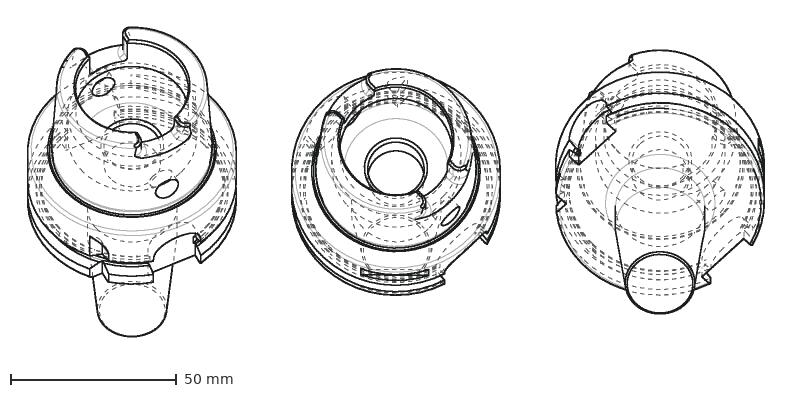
import cadquery as cq
import math


shank_height = 32.0
gauge_radius = 24.03
gauge_height = 6.3
taper_slope = 1 / 20
shank_top_round = 1.0
taper_start = 1.9
relief_radius = 24.15
relief_top = 1.2
face_recess_radius = 25.4
face_recess_depth = 0.5

flange_radius = 31.5
flange_height = 26.0
flange_round = 1.0
groove_radius = 27.5
groove_mid_z = -18.1
groove_half_width = 1.85
groove_flank_start = 29.0
groove_flank_angle = 30.0
groove_root_round = 0.5

nose_bottom = -80.0
nose_radius = 13.5
nose_root_round = 3.0
nose_taper_top = -42.0
nose_tip_radius = 10.5
nose_tip_chamfer = 0.6

bore_radius = 17.0
bore_chamfer = 0.5
bore_chamfer_depth = 1.1
bore_bottom = 19.3
bore_shoulder_angle = 30.0
cavity_radius = 19.5
cavity_floor = 3.0
cavity_floor_round = 3.8
tube_bore_radius = 8.5
tube_bore_chamfer = 1.0
tube_bore_depth = 10.0

drive_half_width = 6.27
drive_flare_start = 18.15
drive_flare_radius = 2.75
drive_tail_length = 5.0
drive_floor_round = 1.5
drive_edge_chamfer = 0.8
drive_chamfer_taper = -45
drive_floors = {-1: 22.2, 1: 26.1}

cross_hole_diameter = 7.6
cross_hole_z = 8.8

keyway_spring_z = -14.0
left_keyway_width = 18.0
left_keyway_floor = 26.5
right_keyway_width = 16.0
right_keyway_floor = 26.5
corner_notch_width = 16.0
corner_notch_floor = 20.0
corner_notch_wall_y = -20.0
corner_notch_spring_z = -12.2

flat_distance = 29.8
flat_top = -3.9
flat_height = 6.0
flat_angle = 135.0


def taper_radius(z):
    return gauge_radius - (z - gauge_height) * taper_slope


def round_to(outline, start, end, center):
    """Line to start, then a short arc around center to end."""
    radius = math.dist(start, center)
    to_mid_x = start[0] + end[0] - 2 * center[0]
    to_mid_z = start[1] + end[1] - 2 * center[1]
    scale = radius / math.hypot(to_mid_x, to_mid_z)
    mid = (center[0] + to_mid_x * scale, center[1] + to_mid_z * scale)
    return outline.lineTo(*start).threePointArc(mid, end)


def revolve(outline):
    return outline.close().revolve(360, (0, 0, 0), (0, 1, 0))


def shank_outline(outline):
    """From the axis at the shank end down to the face recess of the flange."""
    inner_x = taper_radius(shank_height) - shank_top_round
    round_z = shank_height - shank_top_round
    outline = round_to(
        outline, (inner_x, shank_height), (inner_x + shank_top_round, round_z), (inner_x, round_z)
    )
    return (
        outline.lineTo(taper_radius(taper_start), taper_start)
        .lineTo(relief_radius, relief_top)
        .lineTo(relief_radius, -face_recess_depth)
        .lineTo(face_recess_radius - face_recess_depth, -face_recess_depth)
        .lineTo(face_recess_radius, 0)
    )


def flange_outline(outline):
    """Flange rim with rounded edges and a V-flanked gripper groove."""
    inner_x = flange_radius - flange_round
    flank_rise = (flange_radius - groove_flank_start) * math.tan(math.radians(groove_flank_angle))
    rim_half_width = groove_half_width + flank_rise
    groove_top = groove_mid_z + groove_half_width
    groove_bottom = groove_mid_z - groove_half_width
    root_x = groove_radius + groove_root_round
    top_root_z = groove_top - groove_root_round
    low_root_z = groove_bottom + groove_root_round
    low_round_z = -flange_height + flange_round

    outline = round_to(outline, (inner_x, 0), (flange_radius, -flange_round), (inner_x, -flange_round))
    outline = outline.lineTo(flange_radius, groove_mid_z + rim_half_width)
    outline = outline.lineTo(groove_flank_start, groove_top)
    outline = round_to(outline, (root_x, groove_top), (groove_radius, top_root_z), (root_x, top_root_z))
    outline = round_to(outline, (groove_radius, low_root_z), (root_x, groove_bottom), (root_x, low_root_z))
    outline = outline.lineTo(groove_flank_start, groove_bottom)
    outline = outline.lineTo(flange_radius, groove_mid_z - rim_half_width)
    return round_to(outline, (flange_radius, low_round_z), (inner_x, -flange_height), (inner_x, low_round_z))


def nose_outline(outline):
    """Root round, short cylinder and tapered tip, back to the axis."""
    root_x = nose_radius + nose_root_round
    root_z = -flange_height - nose_root_round
    outline = round_to(outline, (root_x, -flange_height), (nose_radius, root_z), (root_x, root_z))
    return (
        outline.lineTo(nose_radius, nose_taper_top)
        .lineTo(nose_tip_radius, nose_bottom + nose_tip_chamfer)
        .lineTo(nose_tip_radius - nose_tip_chamfer, nose_bottom)
        .lineTo(0, nose_bottom)
    )


def body():
    outline = cq.Workplane("XZ").moveTo(0, shank_height)
    return revolve(nose_outline(flange_outline(shank_outline(outline))))


def interior():
    """Clamping bore, wider cavity with a rounded floor edge, and blind tube bore."""
    shoulder = (cavity_radius - bore_radius) * math.tan(math.radians(bore_shoulder_angle))
    floor_radius = cavity_radius - cavity_floor_round
    round_z = cavity_floor + cavity_floor_round
    outline = (
        cq.Workplane("XZ")
        .moveTo(0, shank_height)
        .lineTo(bore_radius + bore_chamfer, shank_height)
        .lineTo(bore_radius, shank_height - bore_chamfer_depth)
        .lineTo(bore_radius, bore_bottom)
        .lineTo(cavity_radius, bore_bottom - shoulder)
    )
    outline = round_to(
        outline, (cavity_radius, round_z), (floor_radius, cavity_floor), (floor_radius, round_z)
    )
    return revolve(
        outline.lineTo(tube_bore_radius + tube_bore_chamfer, cavity_floor)
        .lineTo(tube_bore_radius, cavity_floor - tube_bore_chamfer)
        .lineTo(tube_bore_radius, cavity_floor - tube_bore_depth)
        .lineTo(0, cavity_floor - tube_bore_depth)
    )


def drive_slot_outline(z):
    """Slot opening towards +X; its walls curl back to run along the shank surface."""
    center_y = drive_half_width + drive_flare_radius
    end_angle = math.atan2(center_y, drive_flare_start)
    mid_angle = (end_angle - math.pi / 2) / 2

    def on_flare(angle):
        x = drive_flare_start + drive_flare_radius * math.cos(angle)
        return x, center_y + drive_flare_radius * math.sin(angle)

    flare_mid = on_flare(mid_angle)
    flare_end = on_flare(end_angle)
    tail_x = flare_end[0] - drive_tail_length * math.sin(end_angle)
    tail_y = flare_end[1] + drive_tail_length * math.cos(end_angle)
    wall_start = (drive_flare_start, drive_half_width)
    tail = (tail_x, tail_y)
    upper_wall = (wall_start, flare_mid, flare_end, tail)
    lower_start, lower_mid, lower_end, lower_tail = [(x, -y) for x, y in upper_wall]
    return (
        cq.Workplane("XY", origin=(0, 0, z))
        .moveTo(0, lower_start[1])
        .lineTo(*lower_start)
        .threePointArc(lower_mid, lower_end)
        .lineTo(*lower_tail)
        .lineTo(flange_radius, lower_tail[1])
        .lineTo(flange_radius, tail[1])
        .lineTo(*tail)
        .lineTo(*flare_end)
        .threePointArc(flare_mid, wall_start)
        .lineTo(0, wall_start[1])
        .close()
    )


def drive_slot(side):
    """Slot with a rounded floor edge and a chamfered top edge."""
    floor = drive_floors[side]
    slot = drive_slot_outline(floor).extrude(shank_height - floor)
    slot = slot.faces("<Z").edges().fillet(drive_floor_round)
    chamfer = drive_slot_outline(shank_height - drive_edge_chamfer)
    chamfer = chamfer.extrude(drive_edge_chamfer, taper=drive_chamfer_taper)
    slot = slot.union(chamfer)
    return slot if side > 0 else slot.mirror("YZ")


def keyway(width, floor_distance, center_y, spring_z):
    """Arched keyway cut inwards from +X, open at the flange bottom."""
    half = width / 2
    return (
        cq.Workplane("YZ", origin=(floor_distance, 0, 0))
        .moveTo(center_y - half, -flange_height)
        .lineTo(center_y - half, spring_z)
        .threePointArc((center_y, spring_z + half), (center_y + half, spring_z))
        .lineTo(center_y + half, -flange_height)
        .close()
        .extrude(flange_radius)
    )


def rim_flat():
    flat_bottom = flat_top - flat_height
    block = (
        cq.Workplane("XY", origin=(flat_distance, 0, flat_bottom))
        .box(flange_radius, 2 * flange_radius, flat_height, centered=(False, True, False))
    )
    return block.rotate((0, 0, 0), (0, 0, 1), flat_angle)


def cross_hole():
    return (
        cq.Workplane("YZ", origin=(-flange_radius, 0, 0))
        .center(0, cross_hole_z)
        .circle(cross_hole_diameter / 2)
        .extrude(2 * flange_radius)
    )


result = body().cut(interior())
for slot_side in drive_floors:
    result = result.cut(drive_slot(slot_side))
result = result.cut(cross_hole())

left_keyway = keyway(left_keyway_width, left_keyway_floor, 0, keyway_spring_z).mirror("YZ")
right_keyway = keyway(right_keyway_width, right_keyway_floor, 0, keyway_spring_z)
notch_center_y = corner_notch_wall_y - corner_notch_width / 2
corner_notch = keyway(corner_notch_width, corner_notch_floor, notch_center_y, corner_notch_spring_z)
for flange_cut in (left_keyway, right_keyway, corner_notch, rim_flat()):
    result = result.cut(flange_cut)